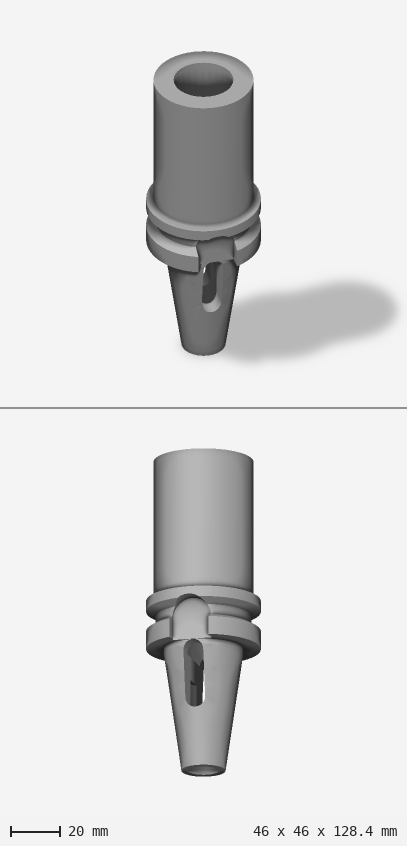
import cadquery as cq

total_height = 128.4
gauge_height = 48.4
flange_bottom = 50.5
flange_thickness = 20.0
flange_top = flange_bottom + flange_thickness

shank_end_radius = 8.9
gauge_radius = 15.9
flange_radius = 23.0
groove_radius = 19.3
body_radius = 20.0
body_fillet = 1.4

groove_center = flange_bottom + 11.5
groove_floor_width = 3.9
groove_mouth_width = 8.2

key_slot_width = 16.0
key_slot_height = 17.0
key_face_distance = 16.3

ejection_slot_width = 8.2
ejection_slot_length = 27.1

socket_mouth_radius = 12.0
socket_floor_radius = 10.1
socket_depth = 82.2
axial_hole_radius = 6.0


def make_outer_body():
    """Revolve the shank, grooved flange and cylindrical body about Z."""
    floor_half = groove_floor_width / 2
    mouth_half = groove_mouth_width / 2
    fillet_center = (body_radius + body_fillet, flange_top + body_fillet)
    fillet_reach = body_fillet * 0.5 ** 0.5
    fillet_middle = (fillet_center[0] - fillet_reach, fillet_center[1] - fillet_reach)
    return (
        cq.Workplane("XZ")
        .lineTo(shank_end_radius, 0)
        .lineTo(gauge_radius, gauge_height)
        .lineTo(gauge_radius, flange_bottom)
        .lineTo(flange_radius, flange_bottom)
        .lineTo(flange_radius, groove_center - mouth_half)
        .lineTo(groove_radius, groove_center - floor_half)
        .lineTo(groove_radius, groove_center + floor_half)
        .lineTo(flange_radius, groove_center + mouth_half)
        .lineTo(flange_radius, flange_top)
        .lineTo(fillet_center[0], flange_top)
        .threePointArc(fillet_middle, (body_radius, fillet_center[1]))
        .lineTo(body_radius, total_height)
        .lineTo(0, total_height)
        .close()
        .revolve(360, (0, 0, 0), (0, 1, 0))
    )


def make_key_slot():
    """Return the round-topped cutter for the key slot on the +X side."""
    half_width = key_slot_width / 2
    arch_spring = flange_bottom + key_slot_height - half_width
    return (
        cq.Workplane("YZ", origin=(key_face_distance, 0, 0))
        .moveTo(-half_width, flange_bottom)
        .lineTo(half_width, flange_bottom)
        .lineTo(half_width, arch_spring)
        .threePointArc((0, flange_bottom + key_slot_height), (-half_width, arch_spring))
        .close()
        .extrude(flange_radius)
    )


def make_ejection_slot():
    """Return the vertical obround cutter that passes through along X."""
    slot_center = flange_bottom - ejection_slot_length / 2
    return (
        cq.Workplane("YZ")
        .center(0, slot_center)
        .slot2D(ejection_slot_length, ejection_slot_width, 90)
        .extrude(flange_radius, both=True)
    )


def make_socket():
    """Return the tapered bore that opens at the top face."""
    socket_floor = total_height - socket_depth
    return (
        cq.Workplane("XZ")
        .moveTo(0, socket_floor)
        .lineTo(socket_floor_radius, socket_floor)
        .lineTo(socket_mouth_radius, total_height)
        .lineTo(0, total_height)
        .close()
        .revolve(360, (0, 0, 0), (0, 1, 0))
    )


def make_axial_hole():
    """Return the hole from the shank end up into the ejection slot."""
    hole_depth = flange_bottom - ejection_slot_length / 2
    return cq.Workplane("XY").circle(axial_hole_radius).extrude(hole_depth)


result = make_outer_body()
key_slot = make_key_slot()
for angle in (0, 180):
    result = result.cut(key_slot.rotate((0, 0, 0), (0, 0, 1), angle))
result = result.cut(make_ejection_slot()).cut(make_socket()).cut(make_axial_hole())